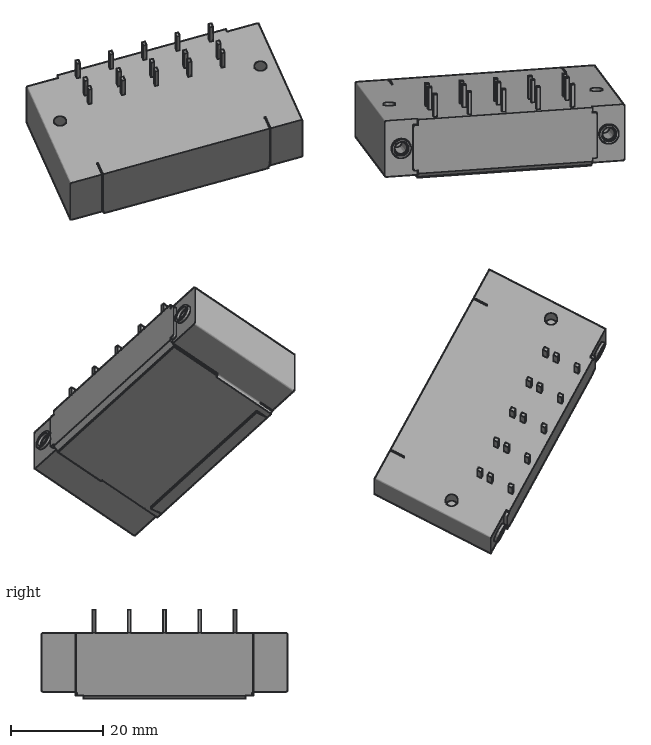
import cadquery as cq

LENGTH = 29.25
WIDTH = 53.35
TOTAL_HEIGHT = 19.3
PIN_HEIGHT = 5.0
CATCH_DROP = 0.7
BODY_HEIGHT = TOTAL_HEIGHT - PIN_HEIGHT - CATCH_DROP
BODY_WIDTH = 38.7

EAR_HEIGHT = 12.8
EAR_SETBACK = 0.75
EAR_WIDTH = (WIDTH - BODY_WIDTH) / 2
EAR_ROUNDING = 0.5

NOSE_CHAMFER = 1.05
RIM_HEIGHT = 0.25
RIM_INSET = 0.1
REAR_START = 13.5
REAR_STEP = 0.5

FLANGE_OVERHANG = 1.05
FLANGE_HEIGHT = 10.3
FLANGE_ROUNDING = 0.4

INSERT_Y = 23.05
INSERT_Z = -EAR_HEIGHT / 2
INSERT_DIAMETER = 4.25
RECESS_DIAMETER = 3.2
RECESS_DEPTH = 0.75
BORE_DIAMETER = 2.65
BORE_DEPTH = 5.35

FIXING_Y = 23.0
FIXING_X = 12.2
FIXING_DIAMETER = 2.65
FIXING_DEPTH = 5.35

SLOT_LENGTH = 3.35
SLOT_WIDTH = 0.25

CATCH_LENGTH = 3.05
CATCH_WIDTH = 35.1

PIN_COLUMNS = (1.75, 6.85, 9.4)
PIN_ROWS = 5
PIN_PITCH = 7.65
PIN_LENGTH_X = 1.0
PIN_WIDTH_Y = 0.75

SIDES = (-1, 1)


def block(x_start, x_end, width, z_bottom, z_top, y_center=0.0):
    """Box given by its X and Z limits and its width about y_center."""
    return (
        cq.Workplane("XY")
        .box(x_end - x_start, width, z_top - z_bottom, centered=(False, True, False))
        .translate((x_start, y_center, z_bottom))
    )


def make_body():
    """Centre block with a chamfered lower front edge and a slanted rim around the front underside."""
    rim_top = RIM_HEIGHT - BODY_HEIGHT
    body = (
        cq.Workplane("XZ")
        .polyline([
            (0, 0),
            (LENGTH, 0),
            (LENGTH, -BODY_HEIGHT),
            (NOSE_CHAMFER + RIM_INSET, -BODY_HEIGHT),
            (NOSE_CHAMFER, rim_top),
            (0, rim_top + NOSE_CHAMFER),
        ])
        .close()
        .extrude(BODY_WIDTH / 2, both=True)
    )
    half_width = BODY_WIDTH / 2
    for side in SIDES:
        rim_cut = (
            cq.Workplane("YZ")
            .polyline([
                (side * half_width, rim_top),
                (side * half_width, -BODY_HEIGHT),
                (side * (half_width - RIM_INSET), -BODY_HEIGHT),
            ])
            .close()
            .extrude(REAR_START)
        )
        step_cut = (
            cq.Workplane("YZ")
            .workplane(offset=REAR_START)
            .moveTo(side * half_width, -EAR_HEIGHT)
            .radiusArc((side * (half_width - REAR_STEP), -EAR_HEIGHT - REAR_STEP), side * -REAR_STEP)
            .lineTo(side * (half_width - REAR_STEP), -BODY_HEIGHT)
            .lineTo(side * half_width, -BODY_HEIGHT)
            .close()
            .extrude(LENGTH - REAR_START)
        )
        body = body.cut(rim_cut).cut(step_cut)
    return body


def make_ear(side):
    """Ear with rounded outer edges, a stepped insert facing forward and a fixing hole in its top."""
    ear = block(EAR_SETBACK, LENGTH, EAR_WIDTH, -EAR_HEIGHT, 0, side * (WIDTH - EAR_WIDTH) / 2)
    ear = ear.edges("|X").edges(">Y" if side > 0 else "<Y").fillet(EAR_ROUNDING)

    front = cq.Workplane("YZ").center(side * INSERT_Y, INSERT_Z)
    ear = ear.union(front.circle(INSERT_DIAMETER / 2).extrude(EAR_SETBACK))
    ear = ear.cut(front.circle(RECESS_DIAMETER / 2).extrude(RECESS_DEPTH))
    ear = ear.cut(front.circle(BORE_DIAMETER / 2).extrude(BORE_DEPTH))

    fixing_hole = (
        cq.Workplane("XY")
        .center(FIXING_X, side * FIXING_Y)
        .circle(FIXING_DIAMETER / 2)
        .extrude(-FIXING_DEPTH)
    )
    return ear.cut(fixing_hole)


def make_flange():
    """Plate in front of the ears, overhanging the body on both sides."""
    z_bottom = -(EAR_HEIGHT + FLANGE_HEIGHT) / 2
    plate = block(0, EAR_SETBACK, BODY_WIDTH + 2 * FLANGE_OVERHANG, z_bottom, z_bottom + FLANGE_HEIGHT)
    return plate.edges("|X").fillet(FLANGE_ROUNDING)


def make_slot(side):
    """Narrow slot along the side of the body, as deep as the ears."""
    y_center = side * (BODY_WIDTH - SLOT_WIDTH) / 2
    return block(LENGTH - SLOT_LENGTH, LENGTH, SLOT_WIDTH, -EAR_HEIGHT, 0, y_center)


def make_catch():
    """Wedge under the rear edge, deepest at its front."""
    return (
        cq.Workplane("XZ")
        .polyline([
            (LENGTH - CATCH_LENGTH, -BODY_HEIGHT),
            (LENGTH, -BODY_HEIGHT),
            (LENGTH - CATCH_LENGTH, -BODY_HEIGHT - CATCH_DROP),
        ])
        .close()
        .extrude(CATCH_WIDTH / 2, both=True)
    )


def make_pins():
    """Grid of rectangular pins standing on the top face."""
    pins = cq.Workplane("XY")
    for x_center in PIN_COLUMNS:
        for row in range(PIN_ROWS):
            y_center = (row - (PIN_ROWS - 1) / 2) * PIN_PITCH
            x_start = x_center - PIN_LENGTH_X / 2
            pins = pins.add(block(x_start, x_start + PIN_LENGTH_X, PIN_WIDTH_Y, 0, PIN_HEIGHT, y_center))
    return pins.combine()


result = make_body().union(make_flange())
for ear_side in SIDES:
    result = result.union(make_ear(ear_side)).cut(make_slot(ear_side))
result = result.union(make_catch()).union(make_pins())